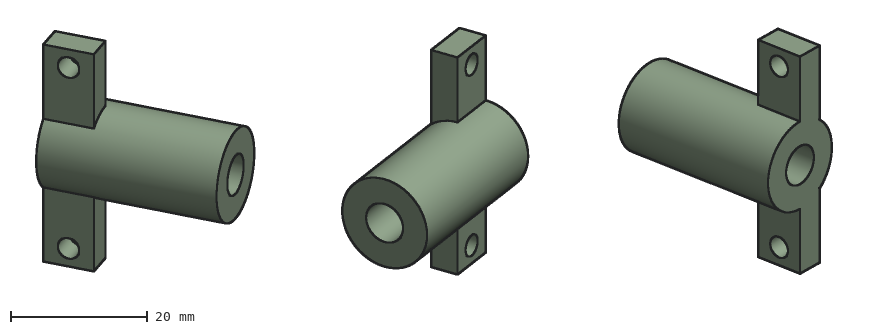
import cadquery as cq

tube_length = 28.5
tube_diameter = 14.5
bore_diameter = 6.3

tab_span = 36.0
tab_width = 8.0
tab_thickness = 4.5
screw_hole_diameter = 3.4
screw_hole_spacing = 30.0


def x_cylinder(diameter):
    """Cylinder along the tube axis, as long as the tube."""
    return cq.Workplane("YZ").circle(diameter / 2).extrude(tube_length)


def make_tabs():
    """Bar forming both tabs, with its back face on the tube's mid-plane and a screw hole near each end."""
    bar = cq.Workplane("XY").box(
        tab_width, tab_thickness, tab_span, centered=(False, False, True)
    ).translate((0, -tab_thickness, 0))
    holes = (
        cq.Workplane("XZ")
        .center(tab_width / 2, 0)
        .rarray(0.35, screw_hole_spacing, 1, 2)
        .circle(screw_hole_diameter / 2)
        .extrude(tab_thickness)
    )
    return bar.cut(holes)


result = x_cylinder(tube_diameter).union(make_tabs()).cut(x_cylinder(bore_diameter))